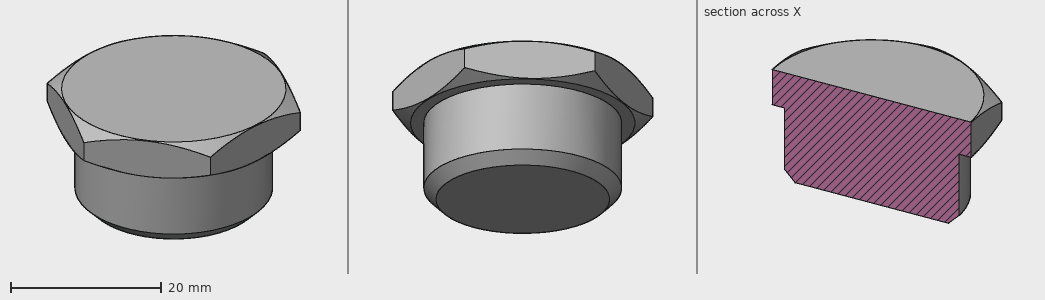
import cadquery as cq
import math

across_corners = 34.65
total_height = 16.5

head_height = 5.47
head_face_diameter = 29.83
head_chamfer_angle = 30.0

shank_diameter = 26.33
shank_chamfer = 1.63
shank_height = total_height - head_height


def make_head():
    """Hexagonal prism whose corners are trimmed by a cone at each end."""
    hexagon = (
        cq.Workplane("XY")
        .workplane(offset=shank_height)
        .polygon(6, across_corners)
        .extrude(head_height)
    )
    corner_radius = across_corners / 2
    face_radius = head_face_diameter / 2
    corner_drop = (corner_radius - face_radius) * math.tan(math.radians(head_chamfer_angle))
    corner_envelope = (
        cq.Workplane("XZ")
        .moveTo(0, shank_height)
        .lineTo(face_radius, shank_height)
        .lineTo(corner_radius, shank_height + corner_drop)
        .lineTo(corner_radius, total_height - corner_drop)
        .lineTo(face_radius, total_height)
        .lineTo(0, total_height)
        .close()
        .revolve(360, (0, 0), (0, 1))
    )
    return hexagon.intersect(corner_envelope)


def make_shank():
    """Plain cylinder with a chamfered lower end."""
    return (
        cq.Workplane("XY")
        .circle(shank_diameter / 2)
        .extrude(shank_height)
        .faces("<Z")
        .chamfer(shank_chamfer)
    )


result = make_head().union(make_shank())